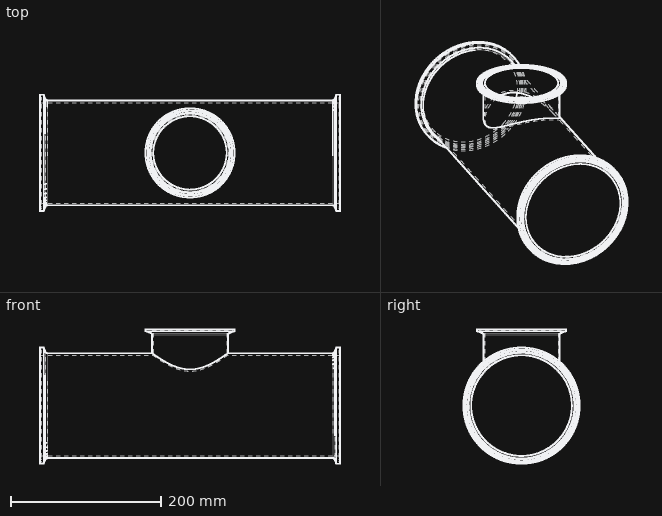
import cadquery as cq
import math

run_length = 400.0
run_outer_diameter = 140.0
run_bore_diameter = 134.0

branch_height = 102.0
branch_outer_diameter = 101.5
branch_bore_diameter = 97.5

run_flange_diameter = 155.0
run_rim_thickness = 5.0
branch_flange_diameter = 119.0
branch_rim_thickness = 3.0
flange_back_angle = math.radians(20)
run_neck_radius = 3.0
branch_neck_radius = 2.0

run_groove_diameter = 145.5
branch_groove_diameter = 109.5
groove_mouth_width = 5.0
groove_floor_width = 2.5
groove_depth = 1.5


def flange(diameter, pipe_diameter, rim_thickness, neck_radius, groove_diameter):
    """Solid flange with its face at z = 0 and its back tapering into the pipe below."""
    rim_radius = diameter / 2
    pipe_radius = pipe_diameter / 2
    slope = math.tan(flange_back_angle)
    arc_center_radius = pipe_radius + neck_radius
    taper_end_radius = arc_center_radius - neck_radius * math.sin(flange_back_angle)
    taper_end_z = -rim_thickness - (rim_radius - taper_end_radius) * slope
    arc_center_z = taper_end_z - neck_radius * math.cos(flange_back_angle)
    mid_angle = (math.pi / 2 + flange_back_angle + math.pi) / 2
    arc_middle = (
        arc_center_radius + neck_radius * math.cos(mid_angle),
        arc_center_z + neck_radius * math.sin(mid_angle),
    )
    body = (
        cq.Workplane("XZ")
        .moveTo(0, 0)
        .lineTo(rim_radius, 0)
        .lineTo(rim_radius, -rim_thickness)
        .lineTo(taper_end_radius, taper_end_z)
        .threePointArc(arc_middle, (pipe_radius, arc_center_z))
        .lineTo(0, arc_center_z)
        .close()
        .revolve(360, (0, 0), (0, 1))
    )
    groove_radius = groove_diameter / 2
    groove = (
        cq.Workplane("XZ")
        .moveTo(groove_radius - groove_mouth_width / 2, 0)
        .lineTo(groove_radius - groove_floor_width / 2, -groove_depth)
        .lineTo(groove_radius + groove_floor_width / 2, -groove_depth)
        .lineTo(groove_radius + groove_mouth_width / 2, 0)
        .close()
        .revolve(360, (0, 0), (0, 1))
    )
    return body.cut(groove)


run = cq.Workplane("YZ").circle(run_outer_diameter / 2).extrude(run_length / 2, both=True)
branch = cq.Workplane("XY").circle(branch_outer_diameter / 2).extrude(branch_height)
tee = run.union(branch)

run_flange = flange(
    run_flange_diameter, run_outer_diameter, run_rim_thickness, run_neck_radius, run_groove_diameter
)
branch_flange = flange(
    branch_flange_diameter,
    branch_outer_diameter,
    branch_rim_thickness,
    branch_neck_radius,
    branch_groove_diameter,
)
for side in (-1, 1):
    end_flange = run_flange.rotate((0, 0, 0), (0, 1, 0), side * 90)
    tee = tee.union(end_flange.translate((side * run_length / 2, 0, 0)))
tee = tee.union(branch_flange.translate((0, 0, branch_height)))

run_bore = cq.Workplane("YZ").circle(run_bore_diameter / 2).extrude(run_length / 2, both=True)
branch_bore = cq.Workplane("XY").circle(branch_bore_diameter / 2).extrude(branch_height)

result = tee.cut(run_bore).cut(branch_bore)